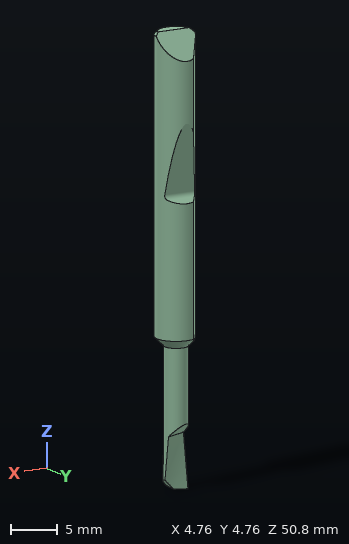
import cadquery as cq
import math


overall_length = 50.8
shank_radius = 4.7625 / 2
neck_radius = 1.35
shank_bottom_z = 17.07
cone_bottom_z = shank_bottom_z - (shank_radius - neck_radius)
top_chamfer = 0.38

flat_start_angle = 178.0
flat_end_angle = 111.5
bevel_start_y = -0.5
notch_top_z = 41.0
notch_bottom_z = 32.2
notch_corner_z = 32.75
notch_floor_y = 1.1
notch_corner_radius = 0.5

head_top_z = 6.2
head_top_radius = neck_radius
head_tip_radius = 1.5
head_twist = 23.0
relief_span = 85.0
back_chamfer_x = 0.1
end_relief_angle_x = 6.0
end_relief_angle_y = 3.0

clearance = 2 * shank_radius


def polar(radius, angle):
    """Point in the XY plane at the given angle in degrees."""
    return (
        radius * math.cos(math.radians(angle)),
        radius * math.sin(math.radians(angle)),
    )


def make_bar():
    """Shank, 45 degree cone and neck, turned about Z down to the top of the head."""
    return (
        cq.Workplane("XZ")
        .moveTo(0, head_top_z)
        .lineTo(neck_radius, head_top_z)
        .lineTo(neck_radius, cone_bottom_z)
        .lineTo(shank_radius, shank_bottom_z)
        .lineTo(shank_radius, overall_length - top_chamfer)
        .lineTo(shank_radius - top_chamfer, overall_length)
        .lineTo(0, overall_length)
        .close()
        .revolve(360, (0, 0), (0, 1))
    )


def make_side_flat():
    """Block removed to leave the flat along the whole shank."""
    half_span = (flat_start_angle - flat_end_angle) / 2
    flat_distance = shank_radius * math.cos(math.radians(half_span))
    return (
        cq.Workplane("XY")
        .box(clearance, 2 * clearance, overall_length, centered=(False, True, False))
        .translate((flat_distance, 0, 0))
        .rotate((0, 0, 0), (0, 0, 1), flat_end_angle + half_span)
    )


def extrude_across_x(points):
    """Prism through the part along X from a (Y, Z) outline."""
    return cq.Workplane("YZ").polyline(points).close().extrude(clearance, both=True)


def make_top_bevel():
    """45 degree wedge removed from the +Y side of the top end."""
    return extrude_across_x([
        (bevel_start_y, overall_length),
        (bevel_start_y + clearance, overall_length),
        (bevel_start_y + clearance, overall_length - clearance),
    ])


def make_clamp_notch():
    """Long shallow ramp in the +Y side that ends in a short rounded step."""
    notch = extrude_across_x([
        (shank_radius, notch_top_z),
        (notch_floor_y, notch_corner_z),
        (shank_radius, notch_bottom_z),
    ])
    return notch.edges("|X and <Y").fillet(notch_corner_radius)


def make_chip_ramp():
    """45 degree wedge removed from the neck where it runs down to the rake face."""
    wedge = extrude_across_x([
        (0, head_top_z),
        (clearance, head_top_z),
        (clearance, head_top_z + clearance),
    ])
    return wedge.rotate((0, 0, 0), (0, 0, 1), head_twist)


def head_section(radius, twist):
    """Half round on the -Y side with the relief flat next to the cutting edge."""
    cutting_angle = 180 + twist
    relief_end_angle = cutting_angle + relief_span
    back_angle = 360 + twist
    return (
        cq.Workplane("XY")
        .moveTo(*polar(radius, cutting_angle))
        .lineTo(*polar(radius, relief_end_angle))
        .threePointArc(
            polar(radius, (relief_end_angle + back_angle) / 2),
            polar(radius, back_angle),
        )
        .close()
        .wires()
        .val()
    )


def make_back_chamfer():
    """45 degree wedge removed from the +X side of the tip."""
    return (
        cq.Workplane("XZ")
        .moveTo(back_chamfer_x, 0)
        .lineTo(back_chamfer_x + clearance, 0)
        .lineTo(back_chamfer_x + clearance, clearance)
        .close()
        .extrude(clearance, both=True)
    )


def make_end_relief():
    """Block removed below the end face, which rises in +X and -Y from the tip corner."""
    tip_corner = (-head_tip_radius, 0, 0)
    block = (
        cq.Workplane("XY")
        .box(2 * clearance, 2 * clearance, clearance, centered=(True, True, False))
        .translate((0, 0, -clearance))
    )
    block = block.rotate((0, 0, 0), (1, 0, 0), -end_relief_angle_y)
    block = block.rotate((0, 0, 0), (0, 1, 0), -end_relief_angle_x)
    return block.translate(tip_corner)


def make_head():
    """Twisted head widening from the neck to the cutting tip."""
    tip_section = head_section(head_tip_radius, 0)
    top_section = head_section(head_top_radius, head_twist).translate(cq.Vector(0, 0, head_top_z))
    head = cq.Workplane(cq.Solid.makeLoft([tip_section, top_section], True))
    return head.cut(make_back_chamfer()).cut(make_end_relief())


shank = make_bar().cut(make_side_flat()).cut(make_top_bevel()).cut(make_clamp_notch())
result = shank.cut(make_chip_ramp()).union(make_head())